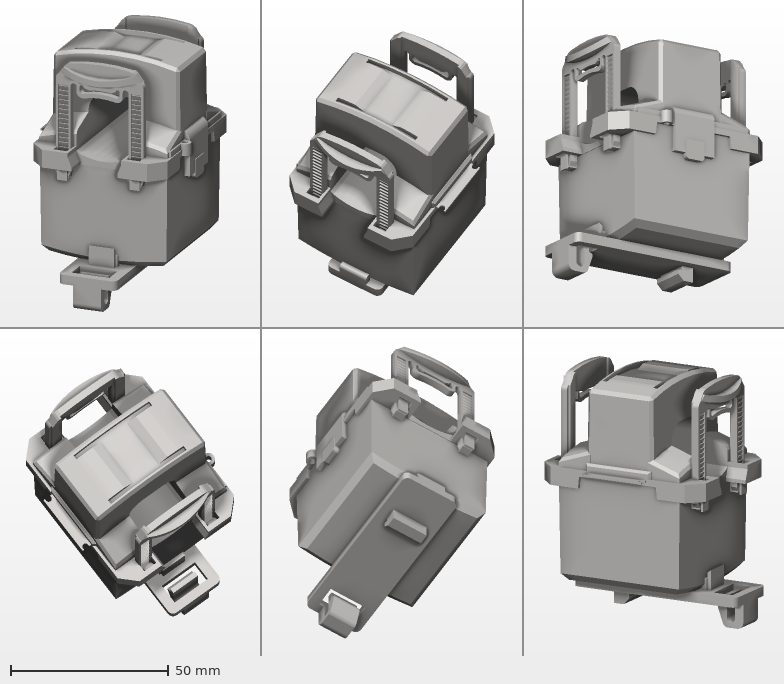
import cadquery as cq
import math


FLANGE_X = 46.3
FLANGE_Y = 58.9
FLANGE_H = 6.0
FLANGE_CORNER = 5.0
RELIEF_Y = 28.0
RELIEF_H = 4.0
RELIEF_FLARE = 0.4
RELIEF_R = 0.6

BODY_X = 44.1
BODY_Y = 44.1
BODY_BOTTOM = -33.0
BODY_FOOT_X = 43.1
BODY_FOOT_Y = 43.1
BODY_BOTTOM_R = 121.0
BODY_CHAMFER = 2.0

COVER_TOP = 35.5
COVER_R = 82.0
COVER_FOOT_Z = 5.0
COVER_FOOT_Y = 24.4
COVER_TOP_X = 43.4
COVER_TOP_Y = 23.4
COVER_CHAMFER = 1.05
SKIRT_X = 44.3
SKIRT_CREST_INNER = 15.4
SKIRT_CREST_OUTER = 11.5
SKIRT_INNER_Y = 10.5
SKIRT_CHAMFER = 0.9
SLOT_X = 30.0
GRIP_DEPTH = 1.85
SLOT_INNER_Y = 8.4
SLOT_OUTER_Y = 10.0
GRIP_OUTER_X = 12.9
GRIP_CREST_X = 8.6
GRIP_FLOOR_X = 5.1
GRIP_CREST_Z = 34.8

BORE_X = 18.5
BORE_TOP = 21.1
BORE_TOP_R = 6.0
BORE_FLOOR = 2.0
BORE_FLOOR_R = 19.8
BORE_FLOOR_HALF = 8.1
BORE_WALL_FOOT = 4.6
GAP_FOOT_HALF = 7.9
GAP_FOOT_Z = 1.2

HANDLE_Y = 22.85
HANDLE_T = 2.25
HANDLE_HALF = 15.1
HANDLE_TOP = 35.6
HANDLE_BOTTOM = -4.0
LEG_W = 5.1
SHOULDER_Z = 29.4
SHOULDER_MID = (14.8, 30.4)
SHOULDER_CHAMFER_Z = 31.1
SHOULDER_CHAMFER_X = 14.1
SHOULDER_TOP_Z = 33.8
SHOULDER_BREAK_X = 11.4
SHOULDER_BREAK_Z = 34.35
CROWN_HALF = 10.2
CROWN_EDGE_Z = 34.75
LEDGE_HALF = 12.1
LEDGE_REACH = 3.25
LEDGE_TIP_X = 13.5
LEDGE_TIP_Z = (31.5, 33.4)
LEDGE_MIDDLE_Z = (29.3, 31.3)
LEG_TIP_Z = -2.1
LEG_TIP_END_Z = -3.5
RIB_T = 0.75
RACK_W = 3.5
RACK_TOP = 27.3
RACK_FIRST_TOOTH = 26.76
RACK_PITCH = 1.586
RACK_DEPTH = 0.8
RACK_INSET = 0.2
WINDOW_TOP = 28.2
STRAP_W = 15.9

SOCKET_W = 4.7
SOCKET_OUTER_Y = 27.7
PAWL_Y = 25.6
PAWL_T = 0.7
PAWL_BOTTOM = -4.6
PAWL_KNEE_Z = 2.0
PAWL_ROOT_Z = 5.0

COLLAR_Y = 44.4
RAIL_X = 22.8
RAIL_END_Y = 20.9
RAIL_Z = 8.0
LIP_Y = 23.6
LIP_Z = 8.6
LIP_BEVEL = 0.8
TAB_X_MIN = -26.6
TAB_Y = 20.9
TAB_Z = 5.15
TAB_T = 0.65
TAB_NOTCH_R = 1.0
TAB_NOTCH_X = -25.0
TAB_NOTCH_DEPTH = 1.6
LATCH_X = 23.8
LATCH_Y = 15.0
LATCH_TOP = 9.5
LATCH_ROUND = 1.4
LATCH_ROUND_INSET = 0.56
LATCH_BOTTOM = -4.5
CATCH_X = 24.1
CATCH_Y = 6.8
CATCH_BOTTOM = -6.5
CATCH_R = 1.2
EYELET_X = 23.35
EYELET_Y = -10.5
EYELET_R = 2.05
EYELET_HOLE_R = 1.0
EYELET_Z = 4.0
EYELET_H = 4.0

PLATE_X = 20.0
PLATE_Y_MIN = -35.7
PLATE_Y_MAX = 23.5
PLATE_TOP = -32.85
PLATE_T = 3.2
PLATE_R = 2.0
PLATE_BOTTOM = PLATE_TOP - PLATE_T
PLATE_SLOT_X = 13.1
PLATE_SLOT_Y = (-32.7, -25.8)
THUMB_W = 8.7
THUMB_OUTER_Y = -23.6
THUMB_INNER_Y = -22.4
THUMB_TOP = -26.3
THUMB_SHOULDER_Z = -27.2
UPRIGHT_W = 9.9
BACKING_INNER_Y = -20.5
BACKING_TOP = -29.0
STOP_INNER_Y = 21.0
STOP_TOP = -29.5
STOP_R = 1.2
PAD_X = 16.8
PAD_Y = 39.4
CLIP_BOTTOM = -44.23
HOOK_W = 12.5
SPRING_W = 9.7

EPS = 0.5


def block(x, y, z):
    """Box given by its (min, max) ranges."""
    return cq.Workplane("XY").box(
        x[1] - x[0], y[1] - y[0], z[1] - z[0], centered=False
    ).translate((x[0], y[0], z[0]))


def along_y(outline, y_min, y_max):
    """Extrude an XZ outline between two Y positions."""
    return outline.extrude(y_min - y_max).translate((0, y_min, 0))


def along_x(points, width):
    """Extrude a YZ polygon symmetrically about X = 0."""
    return cq.Workplane("YZ").polyline(points).close().extrude(width / 2, both=True)


def both_ends(shape):
    """The shape together with its copy at the opposite Y end."""
    return shape.union(shape.mirror("XZ"))


def both_sides(shape):
    """The shape together with its copy on the opposite X side."""
    return shape.union(shape.mirror("YZ"))


def sagitta(half, radius):
    """Height of an arc of the given half chord and radius."""
    return radius - math.sqrt(radius**2 - half**2)


def arch(half, foot, crest, radius):
    """XZ outline: flat foot, straight sides and a roof curved across X."""
    shoulder = crest - sagitta(half, radius)
    return (
        cq.Workplane("XZ")
        .moveTo(-half, foot)
        .lineTo(-half, shoulder)
        .threePointArc((0, crest), (half, shoulder))
        .lineTo(half, foot)
        .close()
    )


def tapered_box(foot, top, z_foot, z_top):
    return (
        cq.Workplane("XY", origin=(0, 0, z_foot))
        .rect(*foot)
        .workplane(offset=z_top - z_foot)
        .rect(*top)
        .loft(ruled=True)
    )


def make_lower_body():
    box = tapered_box((BODY_FOOT_X, BODY_FOOT_Y), (BODY_X, BODY_Y), BODY_BOTTOM, FLANGE_H)
    half = BODY_X / 2
    edge_z = BODY_BOTTOM + sagitta(half, BODY_BOTTOM_R)
    rounded = (
        cq.Workplane("XZ")
        .moveTo(-half, FLANGE_H)
        .lineTo(-half, edge_z)
        .threePointArc((0, BODY_BOTTOM), (half, edge_z))
        .lineTo(half, FLANGE_H)
        .close()
    )
    body = box.intersect(along_y(rounded, -BODY_Y, BODY_Y))
    return body.faces("<Z").edges().chamfer(BODY_CHAMFER)


def make_flange():
    flange = block(
        (-FLANGE_X / 2, FLANGE_X / 2), (-FLANGE_Y / 2, FLANGE_Y / 2), (0, FLANGE_H)
    ).edges("|Z").chamfer(FLANGE_CORNER)
    relief = along_x([
        (-RELIEF_Y / 2 - RELIEF_FLARE, 0), (-RELIEF_Y / 2, RELIEF_H),
        (RELIEF_Y / 2, RELIEF_H), (RELIEF_Y / 2 + RELIEF_FLARE, 0),
    ], FLANGE_X).faces(">Z").edges("|X").fillet(RELIEF_R)
    gap_outline = (
        cq.Workplane("XZ")
        .moveTo(-GAP_FOOT_HALF, 0)
        .lineTo(-GAP_FOOT_HALF, GAP_FOOT_Z)
        .lineTo(-BORE_X / 2, BORE_WALL_FOOT)
        .lineTo(-BORE_X / 2, FLANGE_H)
        .lineTo(BORE_X / 2, FLANGE_H)
        .lineTo(BORE_X / 2, BORE_WALL_FOOT)
        .lineTo(GAP_FOOT_HALF, GAP_FOOT_Z)
        .lineTo(GAP_FOOT_HALF, 0)
        .close()
    )
    leg_x = HANDLE_HALF - LEG_W / 2
    socket = block(
        (leg_x - SOCKET_W / 2, leg_x + SOCKET_W / 2), (HANDLE_Y, SOCKET_OUTER_Y), (0, FLANGE_H)
    )
    flange = flange.cut(relief).cut(along_y(gap_outline, -FLANGE_Y, FLANGE_Y))
    return flange.cut(both_ends(both_sides(socket)))


def make_pawls():
    leg_x = HANDLE_HALF - LEG_W / 2
    pawl = cq.Workplane("YZ").polyline([
        (SOCKET_OUTER_Y + EPS, PAWL_KNEE_Z),
        (SOCKET_OUTER_Y + EPS, PAWL_ROOT_Z),
        (SOCKET_OUTER_Y, PAWL_ROOT_Z),
        (PAWL_Y, PAWL_KNEE_Z),
        (PAWL_Y, PAWL_BOTTOM),
        (PAWL_Y + PAWL_T, PAWL_BOTTOM),
        (PAWL_Y + PAWL_T, PAWL_KNEE_Z),
    ]).close().extrude(RACK_W / 2, both=True).translate((leg_x, 0, 0))
    return both_ends(both_sides(pawl))


def make_skirts():
    """Sloping roofs over both ends of the bore."""
    half = SKIRT_X / 2

    def section(y, crest):
        outline = arch(half, COVER_FOOT_Z, crest, COVER_R).wires().val()
        return outline.translate(cq.Vector(0, y, 0))

    skirt = cq.Workplane(cq.Solid.makeLoft([
        section(SKIRT_INNER_Y, SKIRT_CREST_INNER),
        section(BODY_Y / 2, SKIRT_CREST_OUTER),
    ], True))
    top_edges = skirt.faces(">Z").edges("not(<Y)")
    return both_ends(top_edges.chamfer(SKIRT_CHAMFER))


def make_cover():
    box = tapered_box(
        (BODY_X, COVER_FOOT_Y), (COVER_TOP_X, COVER_TOP_Y), COVER_FOOT_Z, COVER_TOP + EPS
    )
    roof = along_y(arch(BODY_X / 2, 0, COVER_TOP, COVER_R), -COVER_FOOT_Y, COVER_FOOT_Y)
    cover = box.intersect(roof)
    return cover.edges("not(<Z)").chamfer(COVER_CHAMFER)


def make_grip_cut():
    """Hollow grip in the roof with a groove along each end."""
    floor_crest = COVER_TOP - GRIP_DEPTH
    floor_r = COVER_R - GRIP_DEPTH
    floor_edge = floor_crest - sagitta(GRIP_FLOOR_X, floor_r)
    rim_edge = COVER_TOP - sagitta(GRIP_OUTER_X, COVER_R)
    grip_outline = (
        cq.Workplane("XZ")
        .moveTo(-GRIP_OUTER_X, rim_edge)
        .lineTo(-GRIP_CREST_X, GRIP_CREST_Z)
        .lineTo(-GRIP_FLOOR_X, floor_edge)
        .threePointArc((0, floor_crest), (GRIP_FLOOR_X, floor_edge))
        .lineTo(GRIP_CREST_X, GRIP_CREST_Z)
        .lineTo(GRIP_OUTER_X, rim_edge)
        .lineTo(GRIP_OUTER_X, COVER_TOP + EPS)
        .lineTo(-GRIP_OUTER_X, COVER_TOP + EPS)
        .close()
    )
    below_floor = along_y(arch(SLOT_X, 0, floor_crest, floor_r), -COVER_FOOT_Y, COVER_FOOT_Y)
    groove = block(
        (-SLOT_X / 2, SLOT_X / 2), (SLOT_INNER_Y, SLOT_OUTER_Y), (COVER_FOOT_Z, COVER_TOP + EPS)
    ).cut(below_floor)
    return along_y(grip_outline, -SLOT_INNER_Y, SLOT_INNER_Y).union(both_ends(groove))


def make_bore():
    half = BORE_X / 2
    floor_edge = BORE_FLOOR + sagitta(BORE_FLOOR_HALF, BORE_FLOOR_R)
    outline = (
        cq.Workplane("XZ")
        .moveTo(-BORE_FLOOR_HALF, floor_edge)
        .threePointArc((0, BORE_FLOOR), (BORE_FLOOR_HALF, floor_edge))
        .lineTo(half, BORE_WALL_FOOT)
        .lineTo(half, BORE_TOP)
        .lineTo(-half, BORE_TOP)
        .lineTo(-half, BORE_WALL_FOOT)
        .close()
    )
    bore = along_y(outline, -FLANGE_Y / 2, FLANGE_Y / 2)
    return bore.faces(">Z").edges("|Y").fillet(BORE_TOP_R)


def handle_plate(y_min, y_max):
    """Slab with the outline of a handle."""
    half = HANDLE_HALF
    outline = (
        cq.Workplane("XZ")
        .moveTo(-half, HANDLE_BOTTOM)
        .lineTo(-half, SHOULDER_Z)
        .threePointArc((-SHOULDER_MID[0], SHOULDER_MID[1]), (-SHOULDER_CHAMFER_X, SHOULDER_CHAMFER_Z))
        .lineTo(-LEDGE_HALF, SHOULDER_TOP_Z)
        .lineTo(-SHOULDER_BREAK_X, SHOULDER_BREAK_Z)
        .lineTo(-CROWN_HALF, CROWN_EDGE_Z)
        .threePointArc((0, HANDLE_TOP), (CROWN_HALF, CROWN_EDGE_Z))
        .lineTo(SHOULDER_BREAK_X, SHOULDER_BREAK_Z)
        .lineTo(LEDGE_HALF, SHOULDER_TOP_Z)
        .lineTo(SHOULDER_CHAMFER_X, SHOULDER_CHAMFER_Z)
        .threePointArc(SHOULDER_MID, (half, SHOULDER_Z))
        .lineTo(half, HANDLE_BOTTOM)
        .close()
    )
    return along_y(outline, y_min, y_max)


def handle_window():
    """Opening between the legs, below the cross strap."""
    inner = HANDLE_HALF - LEG_W
    strap = STRAP_W / 2
    slot_r = (inner - strap) / 2
    corner_z = 25.0
    foot_x = 5.6
    foot_z = 23.6
    corner_mid = (7.2, 24.05)
    arch_z = 24.3
    outline = (
        cq.Workplane("XZ")
        .moveTo(-inner, HANDLE_BOTTOM)
        .lineTo(-inner, WINDOW_TOP - slot_r)
        .threePointArc((-inner + slot_r, WINDOW_TOP), (-strap, WINDOW_TOP - slot_r))
        .lineTo(-strap, corner_z)
        .threePointArc((-corner_mid[0], corner_mid[1]), (-foot_x, foot_z))
        .threePointArc((0, arch_z), (foot_x, foot_z))
        .threePointArc(corner_mid, (strap, corner_z))
        .lineTo(strap, WINDOW_TOP - slot_r)
        .threePointArc((inner - slot_r, WINDOW_TOP), (inner, WINDOW_TOP - slot_r))
        .lineTo(inner, HANDLE_BOTTOM)
        .close()
    )
    return along_y(outline, HANDLE_Y - EPS, HANDLE_Y + HANDLE_T + EPS)


def strap_opening():
    """Bow-tie shaped opening through the cross strap."""
    half = 6.9
    side_z = 26.0
    horn_x = 5.6
    horn_z = 27.3
    horn_top = 27.95
    waist_x = 4.0
    waist_z = 26.6
    waist_middle_z = 26.85
    foot_x = 5.8
    foot_z = 25.0
    foot_middle_z = 25.7
    corner_x = 6.5
    corner_z = 25.3
    horn_middle = (half + horn_x) / 2
    outline = (
        cq.Workplane("XZ")
        .moveTo(-half, side_z)
        .lineTo(-half, horn_z)
        .threePointArc((-horn_middle, horn_top), (-horn_x, horn_z))
        .lineTo(-waist_x, waist_z)
        .threePointArc((0, waist_middle_z), (waist_x, waist_z))
        .lineTo(horn_x, horn_z)
        .threePointArc((horn_middle, horn_top), (half, horn_z))
        .lineTo(half, side_z)
        .threePointArc((corner_x, corner_z), (foot_x, foot_z))
        .threePointArc((0, foot_middle_z), (-foot_x, foot_z))
        .threePointArc((-corner_x, corner_z), (-half, side_z))
        .close()
    )
    return along_y(outline, HANDLE_Y - EPS, HANDLE_Y + HANDLE_T + EPS)


def finger_ledge():
    """Ledge bowed outward in plan and sagging in the middle."""
    ledge_outline = (
        cq.Workplane("XZ")
        .moveTo(-LEDGE_TIP_X, LEDGE_TIP_Z[0])
        .threePointArc((0, LEDGE_MIDDLE_Z[0]), (LEDGE_TIP_X, LEDGE_TIP_Z[0]))
        .lineTo(LEDGE_HALF, LEDGE_TIP_Z[1])
        .threePointArc((0, LEDGE_MIDDLE_Z[1]), (-LEDGE_HALF, LEDGE_TIP_Z[1]))
        .close()
    )
    face = HANDLE_Y + HANDLE_T
    plan = (
        cq.Workplane("XY")
        .moveTo(-LEDGE_TIP_X, face - EPS)
        .lineTo(-LEDGE_TIP_X, face)
        .threePointArc((0, face + LEDGE_REACH), (LEDGE_TIP_X, face))
        .lineTo(LEDGE_TIP_X, face - EPS)
        .close()
        .extrude(HANDLE_TOP)
    )
    return along_y(ledge_outline, face - EPS, face + LEDGE_REACH + EPS).intersect(plan)


def leg_tip_cut():
    """Material removed at one leg to narrow its lower end."""
    leg_x = HANDLE_HALF - LEG_W / 2
    outline = cq.Workplane("XZ").polyline([
        (leg_x + RACK_W / 2, HANDLE_BOTTOM),
        (leg_x + RACK_W / 2, LEG_TIP_END_Z),
        (HANDLE_HALF, LEG_TIP_Z),
        (HANDLE_HALF, HANDLE_BOTTOM),
    ]).close()
    outer = along_y(outline, HANDLE_Y, HANDLE_Y + HANDLE_T)
    return outer.union(outer.mirror("YZ").translate((2 * leg_x, 0, 0)))


def rack_cut():
    """Saw-tooth recess down the outer face of one leg."""
    leg_x = HANDLE_HALF - LEG_W / 2
    face = HANDLE_Y + HANDLE_T
    crest = face - RACK_INSET
    root = face - RACK_DEPTH
    teeth = math.ceil(RACK_FIRST_TOOTH / RACK_PITCH)
    points = [(face, RACK_TOP), (root, RACK_TOP), (root, RACK_FIRST_TOOTH)]
    for tooth in range(teeth):
        top = RACK_FIRST_TOOTH - tooth * RACK_PITCH
        points += [(crest, top), (root, top - RACK_PITCH)]
    points.append((face, RACK_FIRST_TOOTH - teeth * RACK_PITCH))
    return along_x(points, RACK_W).translate((leg_x, 0, 0))


def make_handles():
    leg_x = HANDLE_HALF - LEG_W / 2
    rib_y = HANDLE_Y - RIB_T
    rib = block(
        (leg_x - RACK_W / 2, leg_x + RACK_W / 2), (rib_y, HANDLE_Y), (HANDLE_BOTTOM, HANDLE_TOP)
    )
    rib = rib.intersect(handle_plate(rib_y, HANDLE_Y))
    handle = handle_plate(HANDLE_Y, HANDLE_Y + HANDLE_T)
    handle = handle.cut(handle_window()).cut(strap_opening())
    handle = handle.cut(both_sides(leg_tip_cut().union(rack_cut())))
    handle = handle.union(both_sides(rib)).union(finger_ledge())
    return both_ends(handle)


def make_collar():
    """Slightly proud band of the body in the flange gaps."""
    return block((-BORE_X / 2, BORE_X / 2), (-COLLAR_Y / 2, COLLAR_Y / 2), (0, FLANGE_H))


def make_side_rails():
    """Low rails on the +X edge of the flange, on both sides of the latch."""
    rail = block((BODY_FOOT_X / 2, RAIL_X), (LATCH_Y / 2, RAIL_END_Y), (COVER_FOOT_Z, RAIL_Z))
    return both_ends(rail)


def make_side_lip():
    """Bevelled bar on the -X side, above the flange."""
    lip = block(
        (-FLANGE_X / 2, -BODY_X / 2 + EPS), (-LIP_Y / 2, LIP_Y / 2), (FLANGE_H - EPS, LIP_Z)
    )
    return lip.faces("<X").edges(">Z or <Y or >Y").chamfer(LIP_BEVEL)


def make_side_tab():
    """Thin plate on the -X side with a round-ended notch at each end."""
    tab = block((TAB_X_MIN, -BODY_X / 2), (-TAB_Y / 2, TAB_Y / 2), (TAB_Z, TAB_Z + TAB_T))
    centre_y = TAB_Y / 2 - TAB_NOTCH_DEPTH + TAB_NOTCH_R
    notch = block(
        (TAB_NOTCH_X - TAB_NOTCH_R, TAB_NOTCH_X + TAB_NOTCH_R), (centre_y, TAB_Y), (0, LIP_Z)
    ).union(cq.Workplane("XY").center(TAB_NOTCH_X, centre_y).circle(TAB_NOTCH_R).extrude(LIP_Z))
    return tab.cut(both_ends(notch))


def make_latch():
    """Strap on the +X side with a catch below it and a seal eyelet beside it."""
    inner = BODY_FOOT_X / 2
    strap_outline = (
        cq.Workplane("XZ")
        .moveTo(inner, LATCH_BOTTOM)
        .lineTo(inner, LATCH_TOP + LATCH_ROUND)
        .threePointArc((LATCH_X - LATCH_ROUND_INSET, LATCH_TOP), (LATCH_X, LATCH_TOP - LATCH_ROUND))
        .lineTo(LATCH_X, LATCH_BOTTOM)
        .close()
    )
    strap = along_y(strap_outline, -LATCH_Y / 2, LATCH_Y / 2)
    catch = block(
        (inner + EPS, CATCH_X), (-CATCH_Y / 2, CATCH_Y / 2), (CATCH_BOTTOM, 0)
    ).faces("<Z").edges("|X").fillet(CATCH_R)
    eyelet_base = cq.Workplane("XY", origin=(EYELET_X, EYELET_Y, EYELET_Z))
    eyelet = eyelet_base.circle(EYELET_R).extrude(EYELET_H)
    return strap.union(catch).union(eyelet)


def make_eyelet_hole():
    return (
        cq.Workplane("XY", origin=(EYELET_X, EYELET_Y, 0))
        .circle(EYELET_HOLE_R)
        .extrude(EYELET_Z + EYELET_H)
    )


def make_plate():
    plate = block(
        (-PLATE_X / 2, PLATE_X / 2), (PLATE_Y_MIN, PLATE_Y_MAX), (PLATE_BOTTOM, PLATE_TOP)
    ).edges("|Z").fillet(PLATE_R)
    slot = block((-PLATE_SLOT_X / 2, PLATE_SLOT_X / 2), PLATE_SLOT_Y, (PLATE_BOTTOM, PLATE_TOP))
    pad = block((-PAD_X / 2, PAD_X / 2), (-PAD_Y / 2, PAD_Y / 2), (PLATE_TOP - EPS, PLATE_TOP + EPS))
    return plate.cut(slot).union(pad)


def make_plate_uprights():
    """Thumb tab at the -Y end of the body and a stop at the +Y end."""
    thumb = along_x([
        (THUMB_OUTER_Y, PLATE_TOP - EPS), (THUMB_OUTER_Y, THUMB_TOP),
        (THUMB_INNER_Y, THUMB_SHOULDER_Z), (THUMB_INNER_Y, PLATE_TOP - EPS),
    ], THUMB_W)
    half = UPRIGHT_W / 2
    backing = block((-half, half), (THUMB_INNER_Y, BACKING_INNER_Y), (PLATE_TOP - EPS, BACKING_TOP))
    stop = block((-half, half), (STOP_INNER_Y, PLATE_Y_MAX), (PLATE_TOP - EPS, STOP_TOP))
    stop = stop.faces(">Z").edges(">Y").fillet(STOP_R)
    return thumb.union(backing).union(stop)


def make_fixed_hook():
    heel_y = 10.7
    toe_y = 7.2
    nose_y = 5.2
    neck_y = 6.7
    sole_z = -40.9
    nose_z = (-38.9, -37.4)
    root_z = PLATE_BOTTOM + EPS
    return along_x([
        (heel_y, root_z), (heel_y, sole_z), (toe_y, sole_z), (nose_y, nose_z[0]),
        (nose_y, nose_z[1]), (neck_y, nose_z[1]), (neck_y, root_z),
    ], HOOK_W)


def make_spring_hook():
    """U-shaped sprung hook hanging from the -Y end of the plate."""
    outer = PLATE_Y_MIN
    slot_min = PLATE_SLOT_Y[0]
    slot_max = -29.7
    arm = -28.0
    nose = -26.5
    slot_r = (slot_max - slot_min) / 2
    slot_bottom = -42.4
    bend_r = 2.3
    bend_mid = bend_r * (1 - math.sqrt(0.5))
    toe = (-28.1, -42.5)
    toe_mid = (-28.8, -43.8)
    nose_z = (-38.2, -37.5)
    barb_z = -36.9
    arm_top = PLATE_TOP - 1.0
    outline = (
        cq.Workplane("YZ")
        .moveTo(outer, PLATE_BOTTOM + EPS)
        .lineTo(outer, CLIP_BOTTOM + bend_r)
        .threePointArc((outer + bend_mid, CLIP_BOTTOM + bend_mid), (outer + bend_r, CLIP_BOTTOM))
        .lineTo(slot_max, CLIP_BOTTOM)
        .threePointArc(toe_mid, toe)
        .lineTo(nose, nose_z[0])
        .lineTo(nose, nose_z[1])
        .lineTo(arm, barb_z)
        .lineTo(arm, arm_top)
        .lineTo(slot_max, arm_top)
        .lineTo(slot_max, slot_bottom + slot_r)
        .threePointArc((slot_max - slot_r, slot_bottom), (slot_min, slot_bottom + slot_r))
        .lineTo(slot_min, PLATE_BOTTOM + EPS)
        .close()
    )
    return outline.extrude(SPRING_W / 2, both=True)


housing = make_flange().union(make_pawls()).union(make_lower_body())
housing = housing.union(make_skirts()).union(make_cover().cut(make_grip_cut()))
housing = housing.union(make_side_lip()).union(make_side_tab()).union(make_latch())
housing = housing.union(make_collar()).union(make_side_rails())
housing = housing.cut(make_bore()).cut(make_eyelet_hole())
rail_clip = make_plate().union(make_plate_uprights()).union(make_fixed_hook()).union(make_spring_hook())
result = housing.union(make_handles()).union(rail_clip)